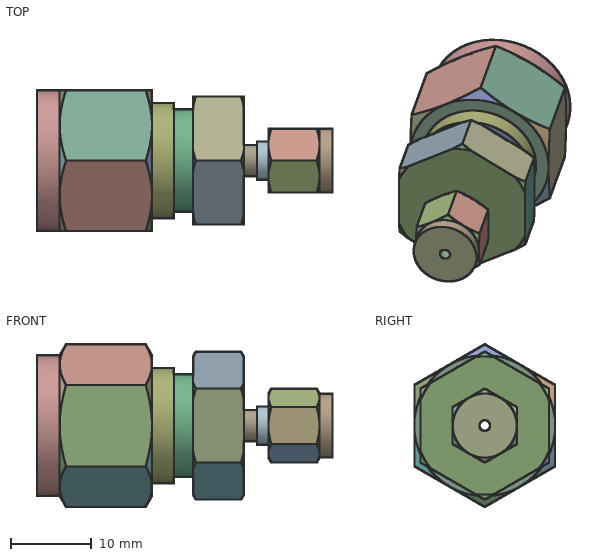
import cadquery as cq
import math


large_ring_end = 2.8
large_nut_end = 14.23
collar_end = 16.95
neck_end = 19.3
body_hex_end = 25.6
stem_end = 27.2
sleeve_end = 28.65
small_nut_end = 34.95
total_length = 36.57

large_nut_flats = 17.45
body_flats = 15.87
small_nut_flats = 7.95

large_ring_diameter = large_nut_flats
collar_diameter = 14.3
neck_diameter = 12.73
stem_diameter = 3.9
sleeve_diameter = 4.8
small_ring_diameter = small_nut_flats

bevel_angle = 30.0
body_bevel_diameter = 17.1

tube_socket_diameter = 9.5
tube_socket_depth = collar_end
through_hole_diameter = 1.28


def cylinder(start, end, diameter):
    """Round section between two stations on the axis."""
    return cq.Workplane("YZ", origin=(start, 0, 0)).circle(diameter / 2).extrude(end - start)


def bevelled_hexagon(start, end, flats, bevel_diameter):
    """Hexagonal section whose end faces are bevelled outside bevel_diameter."""
    corner_diameter = flats / math.cos(math.pi / 6)
    corner_radius = corner_diameter / 2
    face_radius = bevel_diameter / 2
    bevel_length = (corner_radius - face_radius) * math.tan(math.radians(bevel_angle))

    prism = (
        cq.Workplane("YZ", origin=(start, 0, 0))
        .transformed(rotate=(0, 0, 90))
        .polygon(6, corner_diameter)
        .extrude(end - start)
    )
    envelope = (
        cq.Workplane("XY")
        .moveTo(start, 0)
        .lineTo(start, face_radius)
        .lineTo(start + bevel_length, corner_radius)
        .lineTo(end - bevel_length, corner_radius)
        .lineTo(end, face_radius)
        .lineTo(end, 0)
        .close()
        .revolve(360, (0, 0, 0), (1, 0, 0))
    )
    return prism.intersect(envelope)


large_nut = cylinder(0, large_ring_end, large_ring_diameter).union(
    bevelled_hexagon(large_ring_end, large_nut_end, large_nut_flats, large_nut_flats)
)

body = (
    cylinder(large_nut_end, collar_end, collar_diameter)
    .union(cylinder(collar_end, neck_end, neck_diameter))
    .union(bevelled_hexagon(neck_end, body_hex_end, body_flats, body_bevel_diameter))
    .union(cylinder(body_hex_end, stem_end, stem_diameter))
    .union(cylinder(stem_end, sleeve_end, sleeve_diameter))
)

small_nut = bevelled_hexagon(sleeve_end, small_nut_end, small_nut_flats, small_nut_flats).union(
    cylinder(small_nut_end, total_length, small_ring_diameter)
)

tube_socket = cylinder(0, tube_socket_depth, tube_socket_diameter)
through_hole = cylinder(0, total_length, through_hole_diameter)

result = large_nut.union(body).union(small_nut).cut(tube_socket).cut(through_hole)